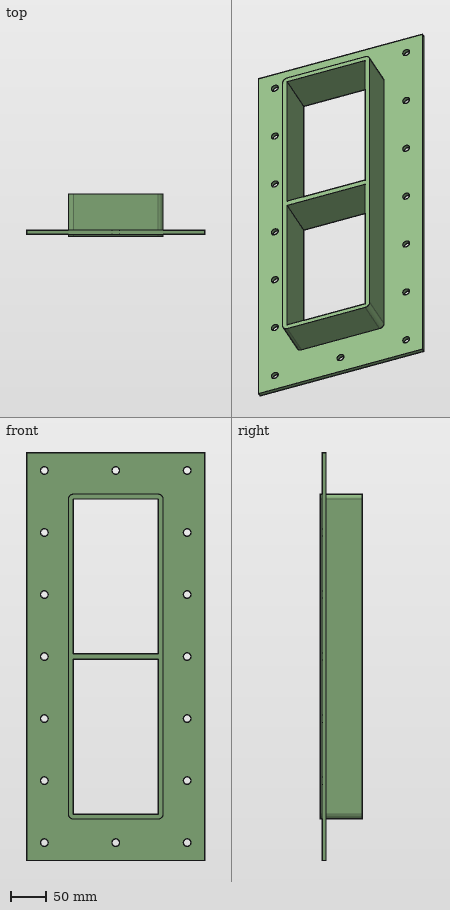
import cadquery as cq

plate_width = 252.5
plate_height = 578.0
plate_thickness = 6.0

duct_width = 134.0
duct_height = 460.0
duct_depth = 60.0
duct_wall = 7.0
duct_corner_radius = 7.0
duct_lip = 3.0
divider_thickness = 8.0

hole_diameter = 10.5
hole_column_x = 101.0
hole_pitch_z = 88.0
holes_per_column = 7

opening_width = duct_width - 2 * duct_wall
opening_height = (duct_height - 2 * duct_wall - divider_thickness) / 2
opening_center_z = (opening_height + divider_thickness) / 2


def block(width, depth, height, front_y):
    """Block centred on X and Z, running from front_y toward +Y."""
    return cq.Workplane("XY").box(width, depth, height).translate((0, front_y + depth / 2, 0))


def bolt_positions():
    """Two full side columns plus one middle hole in the top and bottom rows."""
    end_z = hole_pitch_z * (holes_per_column - 1) / 2
    points = [(0, -end_z), (0, end_z)]
    for x in (-hole_column_x, hole_column_x):
        for i in range(holes_per_column):
            points.append((x, i * hole_pitch_z - end_z))
    return points


plate = block(plate_width, plate_thickness, plate_height, duct_lip)
bolt_holes = (
    cq.Workplane("XZ")
    .pushPoints(bolt_positions())
    .circle(hole_diameter / 2)
    .extrude(-duct_depth)
)
duct = block(duct_width, duct_depth, duct_height, 0).edges("|Y").fillet(duct_corner_radius)

result = plate.cut(bolt_holes).union(duct)
for side in (-1, 1):
    opening = block(opening_width, duct_depth, opening_height, 0)
    result = result.cut(opening.translate((0, 0, side * opening_center_z)))